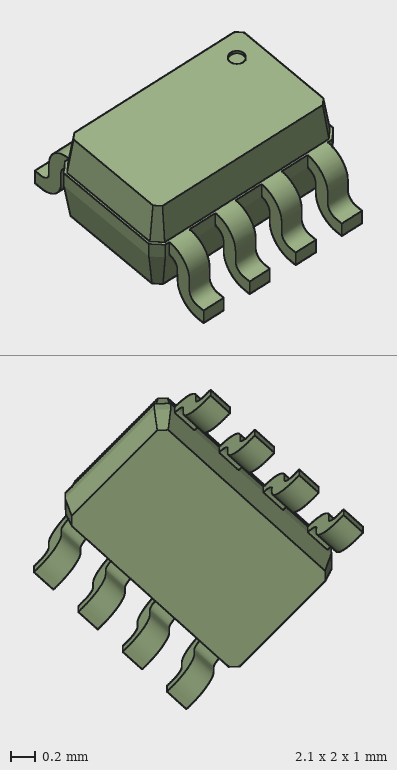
import cadquery as cq
import math

lead_span = 2.1
body_width = 1.25
body_length = 2.0
total_height = 1.0
standoff = 0.1

draft_angle = 8.0
band_corner = 0.095
ledge = 0.023
upper_corner = 0.086

leads_per_side = 4
lead_pitch = 0.5
lead_width = 0.22
lead_thickness = 0.15
inner_bend = 0.1
outer_bend = inner_bend + lead_thickness
lead_embed = 0.042

mark_diameter = 0.15
mark_depth = 0.03
mark_margin = 0.23

half_height = (total_height - standoff - lead_thickness) / 2
band_bottom = standoff + half_height
band_top = band_bottom + lead_thickness
draft_inset = half_height * math.tan(math.radians(draft_angle))


def cut_corner_block(inset, corner, bottom, height, taper=0):
    """Extrude a rectangle with chamfered corners, shrunk from the body outline by an inset."""
    half_x = body_width / 2 - inset
    half_y = body_length / 2 - inset
    outline = [
        (half_x, half_y - corner),
        (half_x - corner, half_y),
        (corner - half_x, half_y),
        (-half_x, half_y - corner),
        (-half_x, corner - half_y),
        (corner - half_x, -half_y),
        (half_x - corner, -half_y),
        (half_x, corner - half_y),
    ]
    plane = cq.Workplane("XY").workplane(offset=bottom)
    return plane.polyline(outline).close().extrude(height, taper=taper)


def make_body():
    """Middle band with a drafted half below it and a set-back drafted half above it."""
    lower = cut_corner_block(0, band_corner, band_bottom, -half_height, draft_angle)
    band = cut_corner_block(0, band_corner, band_bottom, lead_thickness)
    upper = cut_corner_block(ledge, upper_corner, band_top, half_height, draft_angle)
    return band.union(lower).union(upper)


def make_lead(y_center):
    """Gull-wing lead on the +X side, leaving the band and bending down to a flat foot."""
    root_x = body_width / 2
    outer_x = root_x + outer_bend
    inner_x = root_x + inner_bend
    foot_start = outer_x + inner_bend
    tip_x = lead_span / 2
    shoulder_z = band_top - outer_bend
    ankle_z = outer_bend
    diagonal = math.sqrt(0.5)
    profile = (
        cq.Workplane("XZ", origin=(0, y_center + lead_width / 2, 0))
        .moveTo(root_x - lead_embed, band_top)
        .lineTo(root_x, band_top)
        .threePointArc(
            (root_x + outer_bend * diagonal, shoulder_z + outer_bend * diagonal),
            (outer_x, shoulder_z),
        )
        .lineTo(outer_x, ankle_z)
        .threePointArc(
            (foot_start - inner_bend * diagonal, ankle_z - inner_bend * diagonal),
            (foot_start, lead_thickness),
        )
        .lineTo(tip_x, lead_thickness)
        .lineTo(tip_x, 0)
        .lineTo(foot_start, 0)
        .threePointArc(
            (foot_start - outer_bend * diagonal, ankle_z - outer_bend * diagonal),
            (inner_x, ankle_z),
        )
        .lineTo(inner_x, shoulder_z)
        .threePointArc(
            (root_x + inner_bend * diagonal, shoulder_z + inner_bend * diagonal),
            (root_x, band_bottom),
        )
        .lineTo(root_x - lead_embed, band_bottom)
        .close()
    )
    return profile.extrude(lead_width)


def make_pin_one_mark():
    """Shallow round recess near the -X, +Y corner of the top face."""
    edge_offset = ledge + draft_inset + mark_margin
    mark_x = edge_offset - body_width / 2
    mark_y = body_length / 2 - edge_offset
    return (
        cq.Workplane("XY", origin=(mark_x, mark_y, total_height))
        .circle(mark_diameter / 2)
        .extrude(-mark_depth)
    )


result = make_body()
for index in range(leads_per_side):
    lead_y = (index - (leads_per_side - 1) / 2) * lead_pitch
    lead = make_lead(lead_y)
    result = result.union(lead).union(lead.mirror("YZ"))
result = result.cut(make_pin_one_mark())